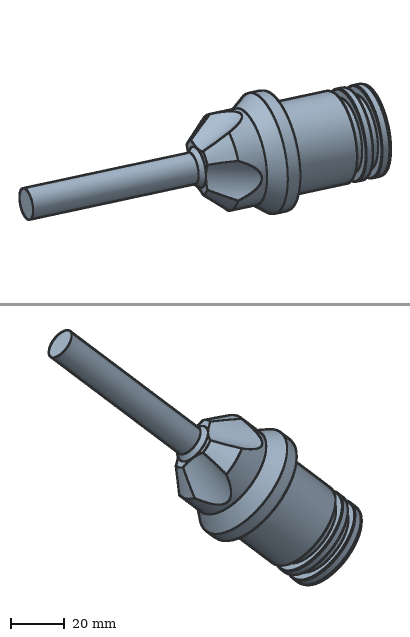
import cadquery as cq
import math

total_length = 141.5
body_radius = 35.4 / 2
groove_radius = 28.7 / 2
flange_radius = 46.0 / 2
nose_radius = 36.8 / 2
nose_tip_radius = 10.5
collar_radius = 7.8
rod_radius = 12.0 / 2

groove_starts = (4.0, 10.5)
groove_width = 3.4
body_edge_chamfer = 0.3
rear_chamfer_length = 0.8
flange_start = 39.8
flange_chamfer_depth = 0.1
flange_chamfer_length = 0.8
flange_cone_start = 45.0
nose_start = 51.4
nose_cone_start = 62.3
nose_end = 71.5
collar_end = 73.6

scallop_radius = 14.2
scallop_count = 4
scallop_start = 53.5
scallop_tip_height = 7.9
scallop_overrun = 28.3

rear_y = total_length / 2


def body_of_revolution():
    """Body, flange, nose, collar and rod as one turned solid."""
    profile = [
        (0, 0),
        (body_radius - body_edge_chamfer, 0),
        (body_radius, rear_chamfer_length),
    ]
    for start in groove_starts:
        end = start + groove_width
        profile += [
            (body_radius, start - body_edge_chamfer),
            (body_radius - body_edge_chamfer, start),
            (groove_radius, start),
            (groove_radius, end),
            (body_radius - body_edge_chamfer, end),
            (body_radius, end + body_edge_chamfer),
        ]
    profile += [
        (body_radius, flange_start),
        (flange_radius - flange_chamfer_depth, flange_start),
        (flange_radius, flange_start + flange_chamfer_length),
        (flange_radius, flange_cone_start),
        (nose_radius, nose_start),
        (nose_radius, nose_cone_start),
        (nose_tip_radius, nose_end),
        (collar_radius, nose_end),
        (rod_radius, collar_end),
        (rod_radius, total_length),
        (0, total_length),
    ]
    points = [(radius, rear_y - station) for radius, station in profile]
    return cq.Workplane("XY").polyline(points).close().revolve(360, (0, 0, 0), (0, 1, 0))


def scallop_cutter():
    """Tilted cylinder whose lowest line runs from the nose surface down to the nose tip."""
    run = nose_end - scallop_start
    drop = nose_radius - scallop_tip_height
    slope_length = math.hypot(run, drop)
    axis = cq.Vector(0, -run / slope_length, -drop / slope_length)
    outward = cq.Vector(0, -drop / slope_length, run / slope_length)
    surface_point = cq.Vector(0, rear_y - scallop_start, nose_radius)
    base = surface_point + outward * scallop_radius - axis * scallop_overrun
    cylinder = cq.Solid.makeCylinder(scallop_radius, slope_length + 2 * scallop_overrun, base, axis)
    limit_width = 4 * flange_radius
    limit = cq.Workplane("XY").box(limit_width, nose_end - nose_start, limit_width)
    limit = limit.translate((0, rear_y - (nose_start + nose_end) / 2, 0))
    return cq.Workplane(obj=cylinder).intersect(limit)


result = body_of_revolution()
cutter = scallop_cutter()
for index in range(scallop_count):
    angle = index * 360 / scallop_count
    result = result.cut(cutter.rotate((0, 0, 0), (0, 1, 0), angle))